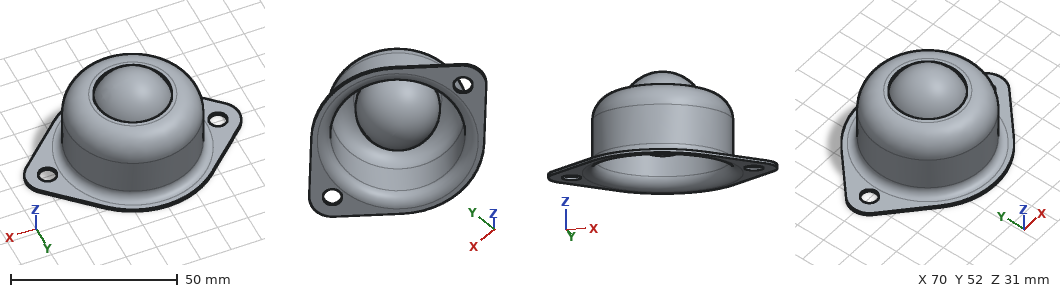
import cadquery as cq
import math


sheet = 1.0
flange_length = 70.0
body_radius = 26.0
ear_radius = 7.0
bolt_hole_diameter = 5.7
wall_radius = 21.2
housing_height = 24.0
crown_radius = 8.0
flare_radius = 2.95
overall_height = 31.0
ball_radius = 12.75

ear_offset = flange_length / 2 - ear_radius
inner_wall_radius = wall_radius - sheet
crown_centre_r = wall_radius - crown_radius
crown_centre_z = housing_height - crown_radius
inner_crown_radius = crown_radius - sheet
flare_centre_r = wall_radius + flare_radius
flare_centre_z = sheet + flare_radius
inner_flare_radius = flare_radius + sheet
ball_centre_z = overall_height - ball_radius
lip_underside = housing_height - sheet
crown_middle = 45
flare_middle = 225
opening_radius = math.sqrt(ball_radius**2 - (lip_underside - ball_centre_z)**2)


def on_circle(centre_x, centre_y, radius, degrees):
    """Point on a circle at the given angle from the first axis."""
    angle = math.radians(degrees)
    return (centre_x + radius * math.cos(angle), centre_y + radius * math.sin(angle))


def make_flange():
    """Flat plate: a round middle joined to two ears by straight tangents, with two bolt holes."""
    tangent_angle = math.degrees(math.acos((body_radius - ear_radius) / ear_offset))
    body_right = on_circle(0, 0, body_radius, tangent_angle)
    body_left = on_circle(0, 0, body_radius, 180 - tangent_angle)
    ear_right = on_circle(ear_offset, 0, ear_radius, tangent_angle)
    ear_left = on_circle(-ear_offset, 0, ear_radius, 180 - tangent_angle)
    plate = (
        cq.Workplane("XY")
        .moveTo(*body_right)
        .threePointArc((0, body_radius), body_left)
        .lineTo(*ear_left)
        .threePointArc((-flange_length / 2, 0), (ear_left[0], -ear_left[1]))
        .lineTo(body_left[0], -body_left[1])
        .threePointArc((0, -body_radius), (body_right[0], -body_right[1]))
        .lineTo(ear_right[0], -ear_right[1])
        .threePointArc((flange_length / 2, 0), ear_right)
        .close()
        .extrude(sheet)
    )
    bolt_holes = (
        cq.Workplane("XY")
        .pushPoints([(-ear_offset, 0), (ear_offset, 0)])
        .circle(bolt_hole_diameter / 2)
        .extrude(sheet)
    )
    mouth = cq.Workplane("XY").circle(flare_centre_r).extrude(sheet)
    return plate.cut(bolt_holes).cut(mouth)


def make_dome():
    """Revolved shell of constant thickness: flare, wall, crown and lip around the ball."""
    return (
        cq.Workplane("XZ")
        .moveTo(flare_centre_r, 0)
        .lineTo(flare_centre_r, sheet)
        .threePointArc(
            on_circle(flare_centre_r, flare_centre_z, flare_radius, flare_middle),
            (wall_radius, flare_centre_z),
        )
        .lineTo(wall_radius, crown_centre_z)
        .threePointArc(
            on_circle(crown_centre_r, crown_centre_z, crown_radius, crown_middle),
            (crown_centre_r, housing_height),
        )
        .lineTo(opening_radius, housing_height)
        .lineTo(opening_radius, lip_underside)
        .lineTo(crown_centre_r, lip_underside)
        .threePointArc(
            on_circle(crown_centre_r, crown_centre_z, inner_crown_radius, crown_middle),
            (inner_wall_radius, crown_centre_z),
        )
        .lineTo(inner_wall_radius, flare_centre_z)
        .threePointArc(
            on_circle(flare_centre_r, flare_centre_z, inner_flare_radius, flare_middle),
            (flare_centre_r, 0),
        )
        .close()
        .revolve(360, (0, 0, 0), (0, 1, 0))
    )


def make_housing():
    """Flange and dome pressed from one sheet."""
    return make_flange().union(make_dome()).solids()


def make_ball():
    """Full sphere, held below the lip of the housing."""
    return cq.Workplane("XY").sphere(ball_radius).translate((0, 0, ball_centre_z))


housing = make_housing()
ball = make_ball()

result = cq.Compound.makeCompound([housing.val(), ball.val()])